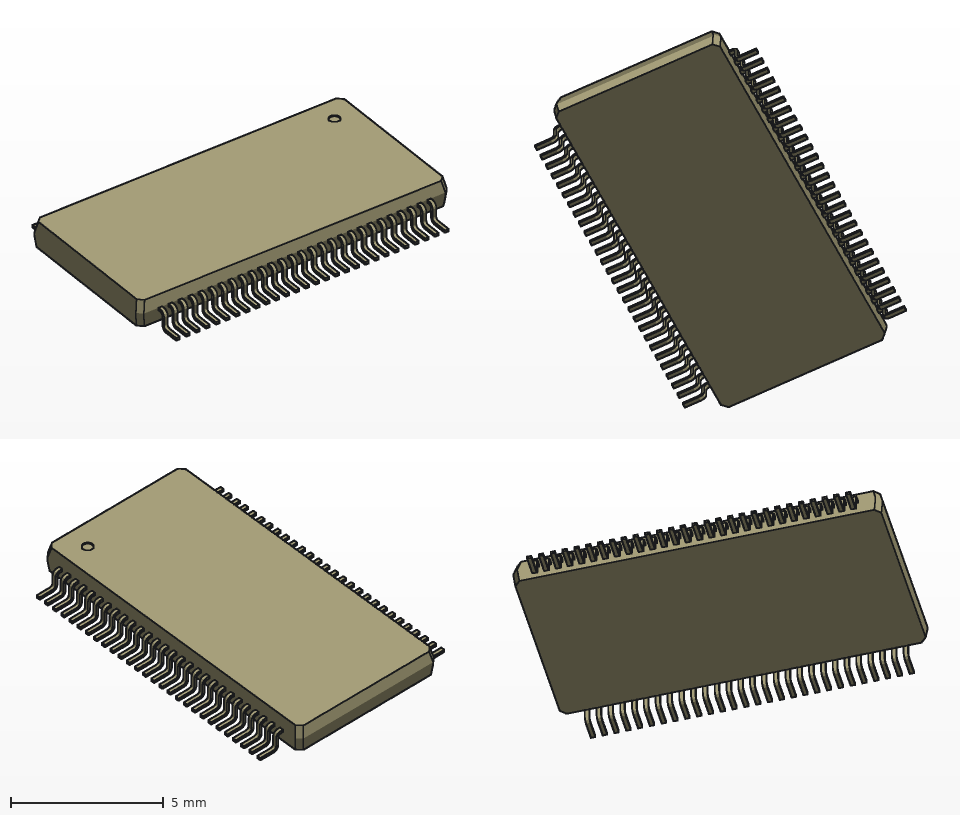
import cadquery as cq

total_height = 1.2
lead_span = 8.1

body_width = 6.1
body_length = 12.5
standoff = 0.2
corner_chamfer = 0.19
top_inset = 0.1
bottom_inset = 0.05

leads_per_side = 28
lead_pitch = 0.4
lead_width = 0.15
lead_thickness = 0.1
inner_bend_radius = 0.11
outer_bend_radius = inner_bend_radius + lead_thickness
foot_reach = 0.79
lead_embed = 0.12

mark_diameter = 0.4
mark_depth = 0.05
mark_offset = 1.02

band_bottom = (standoff + total_height - lead_thickness) / 2
band_top = band_bottom + lead_thickness
mark_x = mark_offset - body_width / 2
mark_y = body_length / 2 - mark_offset
toe_x = lead_span / 2
upright_inner_x = toe_x - foot_reach
upright_outer_x = upright_inner_x + lead_thickness


def body_outline(inset):
    """Body rectangle drawn in by inset, with every corner cut by the same chamfer."""
    sketch = cq.Sketch().rect(body_width - 2 * inset, body_length - 2 * inset)
    return sketch.vertices().chamfer(corner_chamfer)


def body_slab(start_z, end_z, end_inset):
    """Slab with the full outline at start_z and the outline drawn in by end_inset at end_z."""
    rise = cq.Location(cq.Vector(0, 0, end_z - start_z))
    slab = cq.Workplane("XY", origin=(0, 0, start_z))
    return slab.placeSketch(body_outline(0), body_outline(end_inset).moved(rise)).loft()


def make_body():
    band = body_slab(band_bottom, band_top, 0)
    upper = body_slab(band_top, total_height, top_inset)
    lower = body_slab(band_bottom, standoff, bottom_inset)
    return band.union(upper).union(lower)


def make_lead():
    """Gull-wing lead on the +X side, centred on Y = 0."""
    root_x = body_width / 2 - lead_embed
    profile = (
        cq.Workplane("XZ", origin=(0, lead_width / 2, 0))
        .moveTo(root_x, band_top)
        .lineTo(upright_outer_x - outer_bend_radius, band_top)
        .tangentArcPoint((outer_bend_radius, -outer_bend_radius))
        .lineTo(upright_outer_x, lead_thickness + inner_bend_radius)
        .tangentArcPoint((inner_bend_radius, -inner_bend_radius))
        .lineTo(toe_x, lead_thickness)
        .lineTo(toe_x, 0)
        .lineTo(upright_inner_x + outer_bend_radius, 0)
        .tangentArcPoint((-outer_bend_radius, outer_bend_radius))
        .lineTo(upright_inner_x, band_bottom - inner_bend_radius)
        .tangentArcPoint((-inner_bend_radius, inner_bend_radius))
        .lineTo(root_x, band_bottom)
        .close()
    )
    return profile.extrude(lead_width)


def make_mark():
    floor_z = total_height - mark_depth
    return cq.Workplane("XY", origin=(mark_x, mark_y, floor_z)).circle(mark_diameter / 2).extrude(mark_depth)


result = make_body().cut(make_mark())

right_lead = make_lead()
left_lead = right_lead.mirror("YZ")
first_lead_y = -lead_pitch * (leads_per_side - 1) / 2
for index in range(leads_per_side):
    lead_shift = (0, first_lead_y + index * lead_pitch, 0)
    result = result.union(right_lead.translate(lead_shift))
    result = result.union(left_lead.translate(lead_shift))